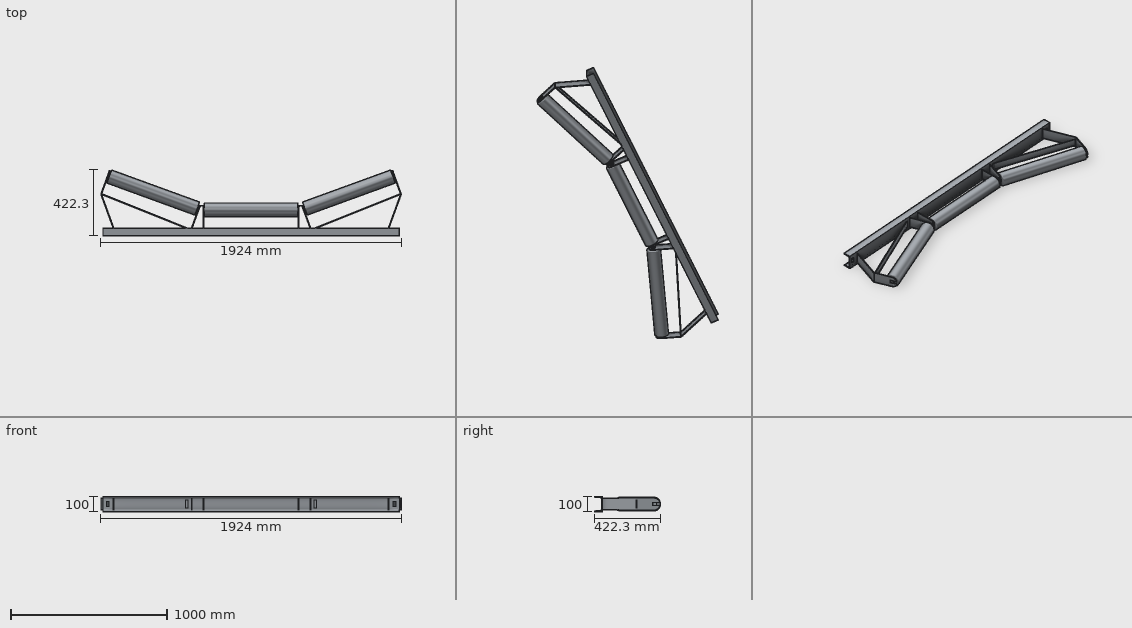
import cadquery as cq
import math


channel_length = 1900.0
channel_width = 100.0
channel_depth = 50.0
web_thickness = 5.0
flange_tip = 6.5
flange_slope = 0.08
flange_root_radius = 8.5
flange_tip_radius = 4.5

slot_width = 17.0
slot_length = 30.0
slot_spacing = 1838.0

plate_thickness = 5.0
plate_width = 75.0

trough_angle = 20.0
roller_diameter = 90.0
roller_length = 600.0
roller_edge_radius = 5.0
shaft_width = 17.0
shaft_height = 25.0
centre_roller_y = 167.0
centre_roller_gap = 2.0
wing_roller_gap = 6.7

end_bracket_half_span = 962.0
bend_y = 268.0
end_bend_radius = 17.0
bend_to_shaft = 125.0

inner_bracket_top_y = 196.0
inner_bend_radius = 8.0

brace_width = 50.0
brace_foot_x = -405.0
brace_angle = 21.8

sin_trough = math.sin(math.radians(trough_angle))
cos_trough = math.cos(math.radians(trough_angle))
tan_trough = math.tan(math.radians(trough_angle))

sloped_thickness = plate_thickness / cos_trough

bend_corner_x = -end_bracket_half_span - end_bend_radius * (1 / cos_trough - 1)

wing_support_reach = roller_length / 2 + wing_roller_gap + plate_thickness
centre_support_reach = roller_length / 2 + centre_roller_gap + plate_thickness

wing_roller_x = bend_corner_x + bend_to_shaft * sin_trough + wing_support_reach * cos_trough
wing_roller_y = bend_y + bend_to_shaft * cos_trough - wing_support_reach * sin_trough


def extrude_across(outline, width):
    """Extrude a closed XY outline along Z, centred on Z = 0."""
    return outline.extrude(width).translate((0, 0, -width / 2))


def to_wing(body):
    """Move a body from the frame of a roller along X to the place of the -X wing roller."""
    return body.rotate((0, 0, 0), (0, 0, 1), -trough_angle).translate((wing_roller_x, wing_roller_y, 0))


def round_bend(plate, point, radius):
    """Round the bend line of a plate that runs through an XY point."""
    return plate.edges(cq.selectors.NearestToPointSelector((*point, 0))).fillet(radius)


def with_mirror_image(body):
    return [body.val(), body.mirror("YZ").val()]


def make_channel():
    half_width = channel_width / 2
    web_y = channel_depth - web_thickness
    tip_z = half_width - flange_tip
    root_z = tip_z - flange_slope * web_y
    channel = (
        cq.Workplane("YZ")
        .polyline([
            (channel_depth, -half_width), (channel_depth, half_width),
            (0, half_width), (0, tip_z), (web_y, root_z),
            (web_y, -root_z), (0, -tip_z), (0, -half_width),
        ])
        .close()
        .extrude(channel_length)
        .translate((-channel_length / 2, 0, 0))
    )
    for side in (-1, 1):
        for corner, radius in (
            ((0, web_y, side * root_z), flange_root_radius),
            ((0, 0, side * tip_z), flange_tip_radius),
        ):
            channel = channel.edges(cq.selectors.NearestToPointSelector(corner)).fillet(radius)
    slots = (
        cq.Workplane("XZ")
        .rarray(slot_spacing, 20, 2, 1)
        .rect(slot_width, slot_length)
        .extrude(-channel_depth)
    )
    return channel.cut(slots)


def make_shaft(reach):
    return cq.Workplane("XY").box(2 * reach, shaft_height, shaft_width)


def make_roller(reach):
    """A roller along X whose shaft ends flush with the outer faces of its supports."""
    shell = (
        cq.Workplane("YZ")
        .circle(roller_diameter / 2)
        .extrude(roller_length)
        .translate((-roller_length / 2, 0, 0))
        .faces("<X or >X")
        .edges()
        .fillet(roller_edge_radius)
    )
    return shell.union(make_shaft(reach))


def make_head_cutter(reach):
    """Rounds the head of a roller's -X support about the shaft and opens its slot, in the roller's frame."""
    depth = 3 * plate_thickness
    start = cq.Workplane("YZ", origin=(-reach - plate_thickness, 0, 0))
    corners = start.rect(2 * plate_width, 2 * plate_width).extrude(depth)
    corners = corners.cut(start.circle(plate_width / 2).extrude(depth))
    corners = corners.cut(start.center(-plate_width, 0).rect(2 * plate_width, plate_width).extrude(depth))
    slot = start.center((plate_width - shaft_height / 2) / 2, 0)
    slot = slot.rect(plate_width + shaft_height / 2, shaft_width).extrude(depth)
    return corners.union(slot)


def make_end_bracket():
    top = bend_to_shaft + plate_width / 2
    top_x = bend_corner_x + top * sin_trough
    top_y = bend_y + top * cos_trough
    foot_x = bend_corner_x + (bend_y - channel_depth) * tan_trough
    outer_bend = (bend_corner_x, bend_y)
    inner_bend = (bend_corner_x + sloped_thickness, bend_y)
    outline = cq.Workplane("XY").polyline([
        (foot_x, channel_depth),
        outer_bend,
        (top_x, top_y),
        (top_x + plate_thickness * cos_trough, top_y - plate_thickness * sin_trough),
        inner_bend,
        (foot_x + sloped_thickness, channel_depth),
    ]).close()
    bracket = extrude_across(outline, plate_width)
    bracket = round_bend(bracket, outer_bend, end_bend_radius)
    bracket = round_bend(bracket, inner_bend, end_bend_radius - plate_thickness)
    return bracket.cut(to_wing(make_head_cutter(wing_support_reach)))


def make_inner_bracket():
    """A post beside the centre roller, folded over into a sloped leg beside the wing roller."""
    post_x = -roller_length / 2 - centre_roller_gap
    leg_reach = roller_length / 2 + wing_roller_gap
    leg_x = wing_roller_x + leg_reach * cos_trough
    leg_y = wing_roller_y - leg_reach * sin_trough

    def leg_face_x(y):
        return leg_x + (y - leg_y) * tan_trough

    under_y = inner_bracket_top_y - plate_thickness
    outer_bends = [
        (leg_face_x(inner_bracket_top_y), inner_bracket_top_y),
        (post_x, inner_bracket_top_y),
    ]
    inner_bends = [
        (post_x - plate_thickness, under_y),
        (leg_face_x(under_y) + sloped_thickness, under_y),
    ]
    outline = cq.Workplane("XY").polyline([
        (leg_face_x(channel_depth), channel_depth),
        *outer_bends,
        (post_x, channel_depth),
        (post_x - plate_thickness, channel_depth),
        *inner_bends,
        (leg_face_x(channel_depth) + sloped_thickness, channel_depth),
    ]).close()
    bracket = extrude_across(outline, plate_width)
    for point in outer_bends:
        bracket = round_bend(bracket, point, inner_bend_radius)
    for point in inner_bends:
        bracket = round_bend(bracket, point, inner_bend_radius - plate_thickness)
    post_head = make_head_cutter(centre_support_reach).translate((0, centre_roller_y, 0))
    leg_head = to_wing(make_head_cutter(wing_support_reach).mirror("YZ"))
    return bracket.cut(post_head).cut(leg_head)


def make_brace(end_bracket):
    """A flat bar from the bend of the end bracket down to the channel."""
    rise = math.tan(math.radians(brace_angle))
    foot_length = plate_thickness / math.sin(math.radians(brace_angle))
    start_x = -end_bracket_half_span + plate_thickness / 2
    start_y = channel_depth + (brace_foot_x - start_x) * rise
    outline = cq.Workplane("XY").polyline([
        (start_x, start_y),
        (brace_foot_x, channel_depth),
        (brace_foot_x - foot_length, channel_depth),
        (start_x, start_y - foot_length * rise),
    ]).close()
    return extrude_across(outline, brace_width).cut(end_bracket)


channel = make_channel()
centre_roller = make_roller(centre_support_reach).translate((0, centre_roller_y, 0))
wing_roller = to_wing(make_roller(wing_support_reach))
end_bracket = make_end_bracket()
inner_bracket = make_inner_bracket()
brace = make_brace(end_bracket)

bodies = [channel.val(), centre_roller.val()]
for side_body in (wing_roller, end_bracket, inner_bracket, brace):
    bodies.extend(with_mirror_image(side_body))

result = cq.Compound.makeCompound(bodies)